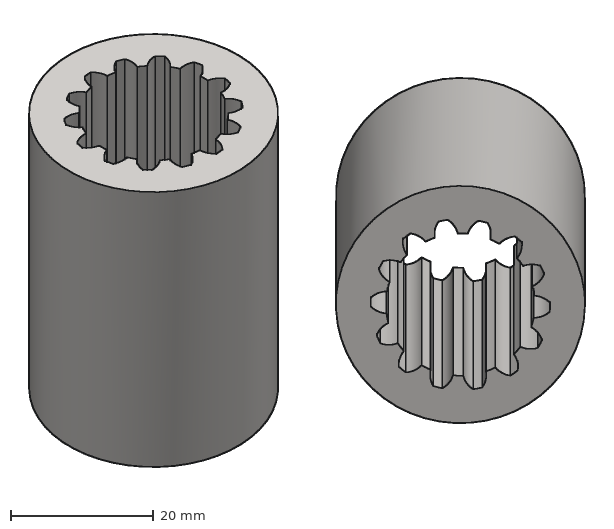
import cadquery as cq
import math

outer_diameter = 35.0
length = 50.0
bore_diameter = 20.95
root_diameter = 25.2
groove_count = 14

mouth_width = 3.25
middle_width = 2.8
root_width = 1.3

bore_radius = bore_diameter / 2
root_radius = root_diameter / 2
middle_radius = (bore_radius + root_radius) / 2
inner_overlap = 1.0


def flank_point(radius, width):
    """Point on the upper flank at the given radius, for a groove centred on the +X axis."""
    half_width = width / 2
    return math.sqrt(radius**2 - half_width**2), half_width


def mirrored(point):
    """Matching point on the lower flank."""
    return point[0], -point[1]


def make_sleeve():
    """Plain tube centred on the Z axis."""
    return (
        cq.Workplane("XY")
        .circle(outer_diameter / 2)
        .circle(bore_radius)
        .extrude(length)
    )


def make_groove_cutter():
    """Full-length spline groove on the +X axis, with curved flanks and a root on the root circle."""
    mouth = flank_point(bore_radius, mouth_width)
    middle = flank_point(middle_radius, middle_width)
    root = flank_point(root_radius, root_width)
    inner = (mouth[0] - inner_overlap, mouth[1])
    return (
        cq.Workplane("XY")
        .moveTo(*mirrored(inner))
        .lineTo(*mirrored(mouth))
        .threePointArc(mirrored(middle), mirrored(root))
        .threePointArc((root_radius, 0), root)
        .threePointArc(middle, mouth)
        .lineTo(*inner)
        .close()
        .extrude(length)
    )


result = make_sleeve()
groove_cutter = make_groove_cutter()
for index in range(groove_count):
    angle = index * 360.0 / groove_count
    result = result.cut(groove_cutter.rotate((0, 0, 0), (0, 0, 1), angle))